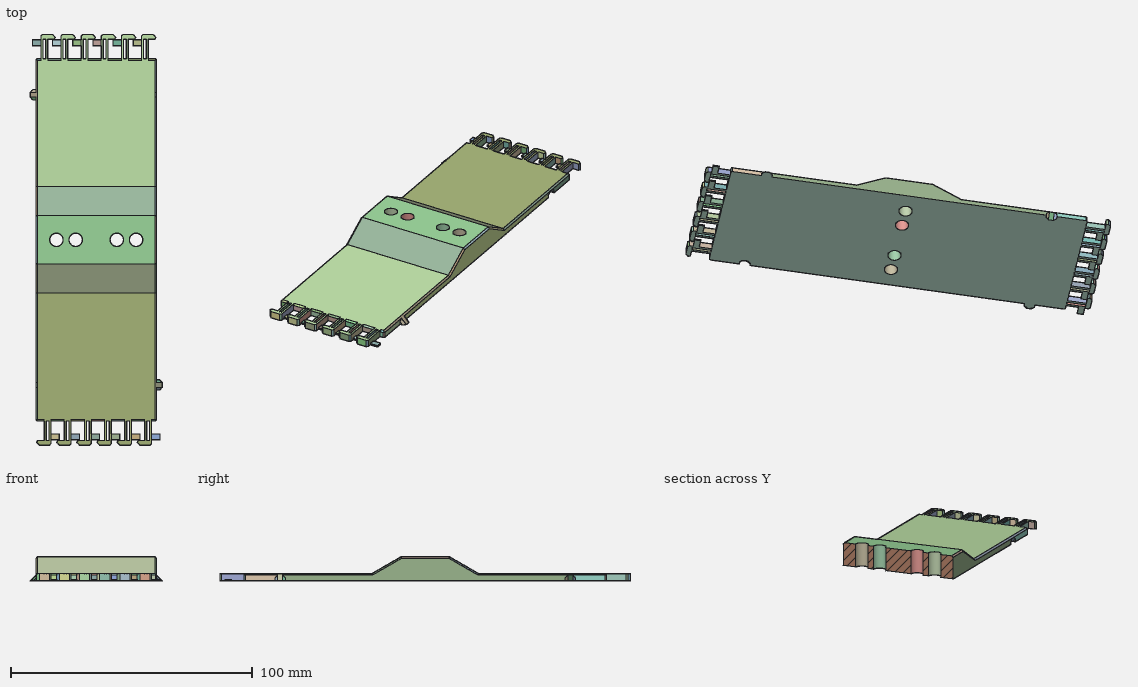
import cadquery as cq
import math

plate_width = 50.0
plate_length = 150.0
plate_height = 3.0
plate_half_width = plate_width / 2
plate_half_length = plate_length / 2
edge_chamfer = 0.7
corner_chamfer = 0.5

saddle_height = 10.0
saddle_half_top = 10.0
saddle_slope = math.radians(30)
saddle_half_base = saddle_half_top + (saddle_height - plate_height) / math.tan(saddle_slope)

hole_diameter = 5.5
hole_pair_spacing = 25.0
hole_spacing = 8.0

tab_y = 60.0
tab_half_width = 2.2
tab_tip_half_width = 1.0
tab_tip_x = plate_half_width - edge_chamfer + plate_height
tab_root_x = plate_half_width - plate_height
tab_corner = tab_half_width - tab_tip_half_width

hook_count = 6
hook_pitch = plate_width / hook_count
hook_shift = -0.7
arm_width = 2.9
slot_width = 1.0
arm_overlap = 0.8
hook_end_y = 85.0
head_depth = 2.0
head_reach = 4.6
head_slant = 1.2
head_corner = 0.7
head_nose_depth = 1.2
head_undercut = 0.5
catch_reach = 5.0
catch_depth = 2.5
catch_gap = 0.2
catch_height = 0.7


def make_plate():
    """Saddle profile swept across the width, chamfered round its upper rim and at its corners."""
    half_profile = [
        (plate_half_length, 0),
        (plate_half_length, plate_height),
        (saddle_half_base, plate_height),
        (saddle_half_top, saddle_height),
    ]
    other_half = [(-y, z) for y, z in reversed(half_profile)]
    plate = (
        cq.Workplane("YZ")
        .polyline(half_profile + other_half)
        .close()
        .extrude(plate_half_width, both=True)
    )
    above_base = cq.selectors.BoxSelector(
        (-plate_width, -plate_length, plate_height / 2),
        (plate_width, plate_length, 2 * saddle_height),
    )
    rim = plate.faces("|X or |Y").edges("not |Z").edges(above_base)
    plate = plate.newObject(rim.vals()).chamfer(edge_chamfer)
    return plate.edges("|Z").chamfer(corner_chamfer)


def screw_holes():
    centres = [
        (pair * hole_pair_spacing / 2 + side * hole_spacing / 2, 0)
        for pair in (-1, 1)
        for side in (-1, 1)
    ]
    return cq.Workplane("XY").pushPoints(centres).circle(hole_diameter / 2).extrude(saddle_height)


def side_tab():
    """Wedge on the -X side: its outline leans inwards by its own height."""
    outline = [
        (-tab_root_x, tab_y - tab_half_width),
        (-tab_tip_x + tab_corner, tab_y - tab_half_width),
        (-tab_tip_x, tab_y - tab_tip_half_width),
        (-tab_tip_x, tab_y + tab_tip_half_width),
        (-tab_tip_x + tab_corner, tab_y + tab_half_width),
        (-tab_root_x, tab_y + tab_half_width),
    ]
    leaned = [(x + plate_height, y) for x, y in outline]
    return (
        cq.Workplane("XY")
        .polyline(outline)
        .close()
        .workplane(offset=plate_height)
        .polyline(leaned)
        .close()
        .loft(ruled=True)
    )


def half_turn(shape):
    return shape.rotate((0, 0, 0), (0, 0, 1), 180)


def block(x_min, x_max, y_min, y_max, height):
    """Box standing on the base plane."""
    return (
        cq.Workplane("XY", origin=(x_min, y_min, 0))
        .box(x_max - x_min, y_max - y_min, height, centered=False)
    )


def hook(x):
    """Hook at the +Y end whose arm is centred on x."""
    head_y = hook_end_y - head_depth
    catch_top_y = head_y - catch_gap
    arm_root_y = plate_half_length - arm_overlap
    left = x - arm_width / 2
    right = x + arm_width / 2
    outline = [
        (left, arm_root_y),
        (left, hook_end_y - head_corner),
        (left + head_corner, hook_end_y),
        (x + head_reach - head_slant, hook_end_y),
        (x + head_reach, hook_end_y - head_nose_depth),
        (x + head_reach - head_undercut, head_y),
        (right, head_y),
        (right, arm_root_y),
    ]
    body = cq.Workplane("XY").polyline(outline).close().extrude(plate_height)
    slot = block(x - slot_width / 2, x + slot_width / 2, plate_half_length, head_y, plate_height)
    catch = block(x - catch_reach, left, catch_top_y - catch_depth, catch_top_y, catch_height)
    return body.cut(slot).union(catch)


tab = side_tab()
notch = half_turn(tab).translate((-plate_width, 0, 0))

result = make_plate().cut(screw_holes())
result = result.union(tab).union(half_turn(tab))
result = result.cut(notch).cut(half_turn(notch))
for index in range(hook_count):
    centre_x = (index - (hook_count - 1) / 2) * hook_pitch + hook_shift
    new_hook = hook(centre_x)
    result = result.union(new_hook).union(half_turn(new_hook))